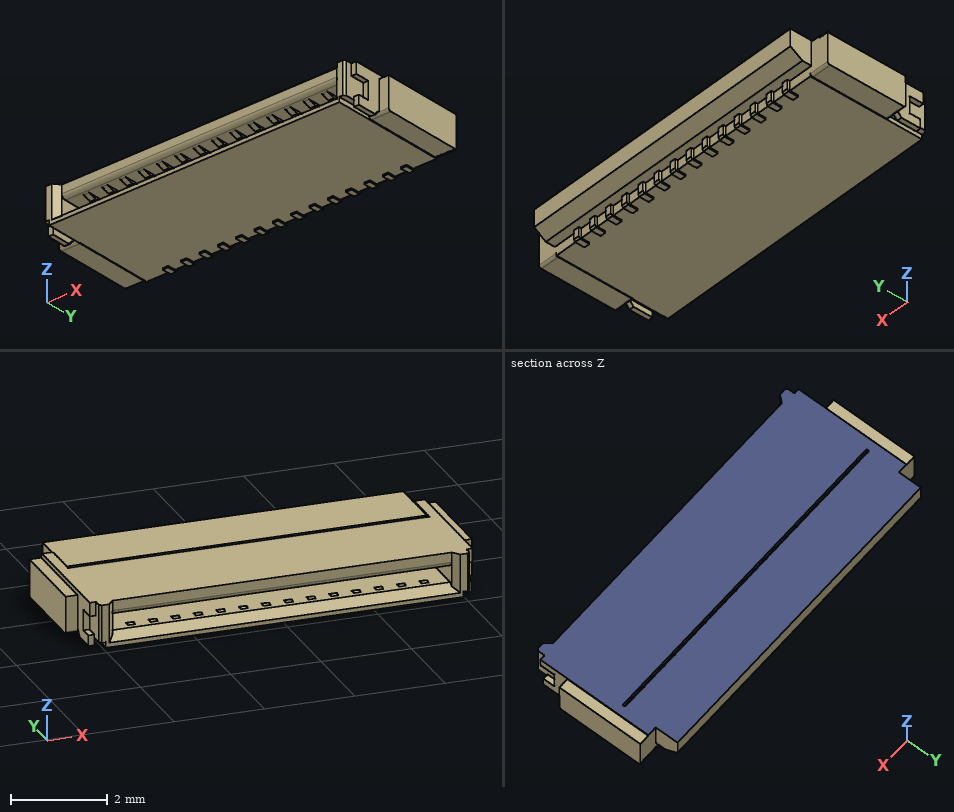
import cadquery as cq

overall_length = 9.0
height = 1.01
housing_depth = 3.11
overall_depth = 3.7

housing_half = 4.1
base_half = 3.96
base_bottom = 0.04
base_top = 0.16
front_corner_x = 0.05
front_corner_y = 0.05
rear_edge_chamfer = 0.05

slot_half = 3.75
slot_floor = 0.31
slot_ceiling = 0.68
slot_back = 1.98
mouth_half = 3.89
mouth_floor = 0.14
mouth_depth = 0.16
ramp_depth = 0.25
lip_radius = 0.11

lever_half = 4.0
lever_top = 0.98
lever_front = 2.295
lever_bottom = 0.3
lever_heel_y = 3.37
lever_heel_z = 0.5
groove_front = 2.12
groove_floor = 0.81
groove_radius = 0.12
comb_half = 3.53
comb_drop = 0.05

plate_outer = 4.24
plate_front = 0.22
notch_rear = 0.59
notch_bottom = 0.24
notch_top = 0.7
leg_front = 0.3
leg_rear = 0.83
leg_rear_top = 0.93
foot_bottom = 0.05
foot_radius = 0.06
tab_front = 0.945
tab_top = 0.9

contact_count = 14
contact_span = 6.5
contact_pitch = contact_span / (contact_count - 1)
contact_width = 0.15
floor_contact_front = 0.39
floor_contact_length = 0.14
ceiling_contact_front = 0.35
ceiling_contact_length = 0.45
floor_contact_rise = 0.03
ceiling_contact_drop = 0.06
tail_front = 2.89
tail_rear = 3.19
tail_chamfer_y = 0.04
tail_chamfer_z = 0.05


def box(x_range, y_range, z_range):
    """Box between the given limits along each axis."""
    size = [high - low for low, high in (x_range, y_range, z_range)]
    corner = (x_range[0], y_range[0], z_range[0])
    return cq.Workplane("XY").box(*size, centered=False).translate(corner)


def extrude_along_x(yz_outline, x_start, x_end):
    """Prism with the given closed (Y, Z) outline between two X positions."""
    plane = cq.Workplane("YZ", origin=(x_start, 0, 0))
    return plane.polyline(yz_outline).close().extrude(x_end - x_start)


def both_ends(solid):
    """The solid together with its mirror image at the other end."""
    return solid.union(solid.mirror("YZ"))


def make_housing():
    upper_outline = [
        (-housing_half, front_corner_y),
        (-housing_half + front_corner_x, 0),
        (housing_half - front_corner_x, 0),
        (housing_half, front_corner_y),
        (housing_half, housing_depth),
        (-housing_half, housing_depth),
    ]
    upper = cq.Workplane("XY", origin=(0, 0, base_top)).polyline(upper_outline).close()
    upper = upper.extrude(height - base_top)
    upper = upper.faces(">Y").edges(">Z").chamfer(rear_edge_chamfer)
    base = box((-base_half, base_half), (0, housing_depth), (base_bottom, base_top))
    return upper.union(base)


def make_slot():
    """Cable slot: flat floor and ceiling, with a rounded upper lip."""
    lip_top = slot_ceiling + lip_radius
    outline = (
        cq.Workplane("YZ", origin=(-slot_half, 0, 0))
        .moveTo(mouth_depth, slot_floor)
        .lineTo(slot_back, slot_floor)
        .lineTo(slot_back, slot_ceiling)
        .lineTo(mouth_depth + lip_radius, slot_ceiling)
        .radiusArc((mouth_depth, lip_top), lip_radius)
        .close()
    )
    return outline.extrude(2 * slot_half)


def make_mouth():
    """Flared entry, open at the top, with side walls and a floor ramp leading to the slot."""
    side_taper = [
        (-mouth_half, 0),
        (mouth_half, 0),
        (slot_half, mouth_depth),
        (slot_half, ramp_depth),
        (-slot_half, ramp_depth),
        (-slot_half, mouth_depth),
    ]
    ramp_outline = [
        (0, mouth_floor),
        (ramp_depth, slot_floor),
        (mouth_depth, slot_floor),
        (mouth_depth, height),
        (0, height),
    ]
    taper = cq.Workplane("XY").polyline(side_taper).close().extrude(height)
    return taper.intersect(extrude_along_x(ramp_outline, -mouth_half, mouth_half))


def make_lever_recess():
    """Room for the lever, with a rounded front edge and a sloped step along the contacts."""
    gap_front = groove_front + groove_radius
    recess = (
        cq.Workplane("YZ", origin=(-lever_half, 0, 0))
        .moveTo(groove_front, height)
        .radiusArc((gap_front, height - groove_radius), groove_radius)
        .lineTo(gap_front, groove_floor)
        .lineTo(housing_depth, groove_floor)
        .lineTo(housing_depth, height)
        .close()
        .extrude(2 * lever_half)
    )
    slope = [
        (gap_front, groove_floor),
        (lever_front, groove_floor),
        (lever_front, groove_floor - comb_drop),
    ]
    return recess.union(extrude_along_x(slope, -comb_half, comb_half))


def make_lever():
    outline = [
        (lever_front, lever_top),
        (overall_depth, lever_top),
        (overall_depth, lever_heel_z),
        (lever_heel_y, lever_bottom),
        (lever_front, lever_bottom),
    ]
    return extrude_along_x(outline, -lever_half, lever_half)


def make_hold_down():
    """Left hold-down: notched side plate, outer tab and the foot under the housing."""
    plate_outline = [
        (plate_front, height),
        (housing_depth - rear_edge_chamfer, height),
        (housing_depth, height - rear_edge_chamfer),
        (housing_depth, foot_bottom + foot_radius),
        (leg_rear_top, foot_bottom + foot_radius),
        (leg_rear, 0),
        (leg_front, 0),
        (leg_front, notch_bottom),
        (notch_rear, notch_bottom),
        (notch_rear, notch_top),
        (plate_front, notch_top),
    ]
    plate = extrude_along_x(plate_outline, -plate_outer, -housing_half)
    tab_y = (tab_front, housing_depth)
    tab = box((-overall_length / 2, -plate_outer), tab_y, (base_top, tab_top))
    foot = box((-overall_length / 2, -base_half), tab_y, (foot_bottom, base_top))
    foot = foot.faces("<Z").edges("|X").fillet(foot_radius)
    return plate.union(foot).union(tab)


def make_ridge(x_range, y_front, length, surface_z, rise, buried_z):
    """Pointed contact tip: its crest stands off the slot surface, its root is buried in the housing."""
    y_crest = y_front + length / 2
    outline = [
        (y_front, surface_z),
        (y_crest, surface_z + rise),
        (y_front + length, surface_z),
        (y_crest, buried_z),
    ]
    return extrude_along_x(outline, *x_range)


def make_contact(x_centre):
    """Contact tips inside the slot, its rib in the lever groove and its solder tail."""
    x_range = (x_centre - contact_width / 2, x_centre + contact_width / 2)
    floor_tip = make_ridge(
        x_range,
        floor_contact_front,
        floor_contact_length,
        slot_floor,
        floor_contact_rise,
        base_top,
    )
    ceiling_tip = make_ridge(
        x_range,
        ceiling_contact_front,
        ceiling_contact_length,
        slot_ceiling,
        -ceiling_contact_drop,
        groove_floor,
    )
    rib_y = (groove_front + groove_radius, lever_front)
    rib = box(x_range, rib_y, (groove_floor - comb_drop, groove_floor))
    tail_outline = [
        (tail_front, 0),
        (tail_rear - tail_chamfer_y, 0),
        (tail_rear, tail_chamfer_z),
        (tail_rear, lever_bottom),
        (tail_front, lever_bottom),
    ]
    tail = extrude_along_x(tail_outline, *x_range)
    return [floor_tip, ceiling_tip, rib, tail]


result = make_housing().cut(make_slot()).cut(make_mouth()).cut(make_lever_recess())
result = result.union(make_lever()).union(both_ends(make_hold_down()))
for index in range(contact_count):
    x_centre = (index - (contact_count - 1) / 2) * contact_pitch
    for piece in make_contact(x_centre):
        result = result.union(piece)